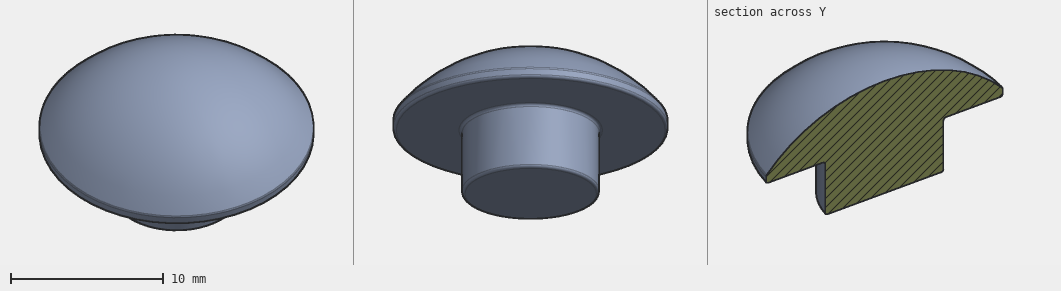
import cadquery as cq

head_diameter = 18.0
total_height = 9.5
stem_diameter = 9.0
stem_length = 4.5

rim_height = 0.68
edge_fillet = 0.2

head_radius = head_diameter / 2
stem_radius = stem_diameter / 2

dome_base = stem_length + rim_height
dome_height = total_height - dome_base
dome_radius = (head_radius**2 + dome_height**2) / (2 * dome_height)
dome_center = total_height - dome_radius
arc_mid_x = head_radius / 2
arc_mid_z = dome_center + (dome_radius**2 - arc_mid_x**2) ** 0.5

profile = (
    cq.Workplane("XZ")
    .lineTo(stem_radius, 0)
    .lineTo(stem_radius, stem_length)
    .lineTo(head_radius, stem_length)
    .lineTo(head_radius, dome_base)
    .threePointArc((arc_mid_x, arc_mid_z), (0, total_height))
    .close()
)
button = profile.revolve(360, (0, 0, 0), (0, 1, 0))


def round_edge(body, radius, height):
    """Fillet the circular edge of the given radius at the given height."""
    margin = 0.02
    reach = radius + margin
    inner = radius - margin
    ring = cq.selectors.BoxSelector(
        (-reach, -reach, height - margin), (reach, reach, height + margin), boundingbox=True
    )
    core = cq.selectors.BoxSelector(
        (-inner, -inner, height - margin), (inner, inner, height + margin), boundingbox=True
    )
    return body.edges(ring - core).fillet(edge_fillet)


button = round_edge(button, stem_radius, 0)
button = round_edge(button, stem_radius, stem_length)
button = round_edge(button, head_radius, stem_length)
button = round_edge(button, head_radius, dome_base)
result = button